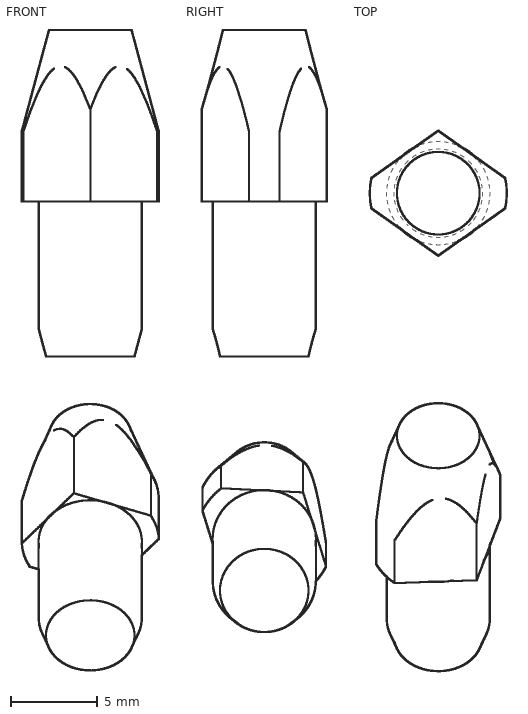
import cadquery as cq
import math

total_height = 19.0
head_height = 10.0
head_diameter = 7.98
head_width = 7.28
rounded_end_width = 1.77
tip_diameter = 4.8
shank_diameter = 6.0
lead_in_height = 1.6
taper_angle = 15.0

taper = math.tan(math.radians(taper_angle))
shank_height = total_height - head_height
head_radius = head_diameter / 2
tip_radius = tip_diameter / 2
shank_radius = shank_diameter / 2
lead_in_radius = shank_radius - lead_in_height * taper
cone_base_z = total_height - (head_radius - tip_radius) / taper


def revolved_body():
    """Shank with lead-in cone, and round head with conical tip."""
    return (
        cq.Workplane("XZ")
        .moveTo(0, 0)
        .lineTo(lead_in_radius, 0)
        .lineTo(shank_radius, lead_in_height)
        .lineTo(shank_radius, shank_height)
        .lineTo(head_radius, shank_height)
        .lineTo(head_radius, cone_base_z)
        .lineTo(tip_radius, total_height)
        .lineTo(0, total_height)
        .close()
        .revolve(360, (0, 0, 0), (0, 1, 0))
    )


def diamond_prism():
    """Full-height rhombus whose four sides form the flats of the head."""
    edge_y = head_width / 2
    flat_end_y = rounded_end_width / 2
    flat_end_x = math.sqrt(head_radius**2 - flat_end_y**2)
    corner_x = flat_end_x * edge_y / (edge_y - flat_end_y)
    return (
        cq.Workplane("XY")
        .polyline([(corner_x, 0), (0, edge_y), (-corner_x, 0), (0, -edge_y)])
        .close()
        .extrude(head_height)
        .translate((0, 0, shank_height))
    )


def shank_envelope():
    """Cylinder that keeps the shank untouched by the flats."""
    return cq.Workplane("XY").circle(head_radius).extrude(shank_height)


result = revolved_body().intersect(diamond_prism().union(shank_envelope()))